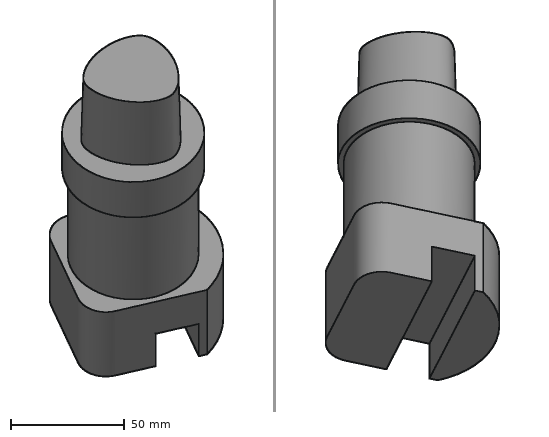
import cadquery as cq
import math

total_height = 153.0
base_height = 40.0
collar_bottom = 93.2
collar_top = 115.0

base_width = 64.0
base_depth = 71.9
back_radius = 40.0
corner_radius = 13.0

slot_width = 20.0
slot_height = 20.0

barrel_diameter = 58.0
collar_diameter = 63.0

shank_base_width = 44.0
shank_top_width = 42.2
shank_lobe = 1.7
lobe_points = 48


def base_block():
    half_width = base_width / 2
    front = back_radius - base_depth
    back_corner = math.sqrt(back_radius**2 - half_width**2)
    block = (
        cq.Workplane("XY")
        .moveTo(-half_width, front)
        .lineTo(half_width, front)
        .lineTo(half_width, back_corner)
        .threePointArc((0, back_radius), (-half_width, back_corner))
        .close()
        .extrude(base_height)
        .edges("|Z and <Y")
        .fillet(corner_radius)
    )
    slot = cq.Workplane("XY").box(
        base_width, slot_width, slot_height, centered=(True, False, False)
    )
    return block.cut(slot)


def cylinder(diameter, bottom, top):
    return cq.Workplane("XY").workplane(offset=bottom).circle(diameter / 2).extrude(top - bottom)


def lobed_point(mean_radius, angle):
    """Point on a constant-width curve whose first lobe points along -Y."""
    along = (
        mean_radius * math.cos(angle)
        + 2 * shank_lobe * math.cos(2 * angle)
        - shank_lobe * math.cos(4 * angle)
    )
    across = (
        mean_radius * math.sin(angle)
        - 2 * shank_lobe * math.sin(2 * angle)
        - shank_lobe * math.sin(4 * angle)
    )
    return across, -along


def lobed_outline(width):
    step = 2 * math.pi / lobe_points
    return [lobed_point(width / 2, i * step) for i in range(lobe_points)]


def shank():
    return (
        cq.Workplane("XY")
        .workplane(offset=collar_top)
        .spline(lobed_outline(shank_base_width), periodic=True)
        .close()
        .workplane(offset=total_height - collar_top)
        .spline(lobed_outline(shank_top_width), periodic=True)
        .close()
        .loft(ruled=True)
    )


barrel = cylinder(barrel_diameter, base_height, collar_bottom)
collar = cylinder(collar_diameter, collar_bottom, collar_top)
result = base_block().union(barrel).union(collar).union(shank())